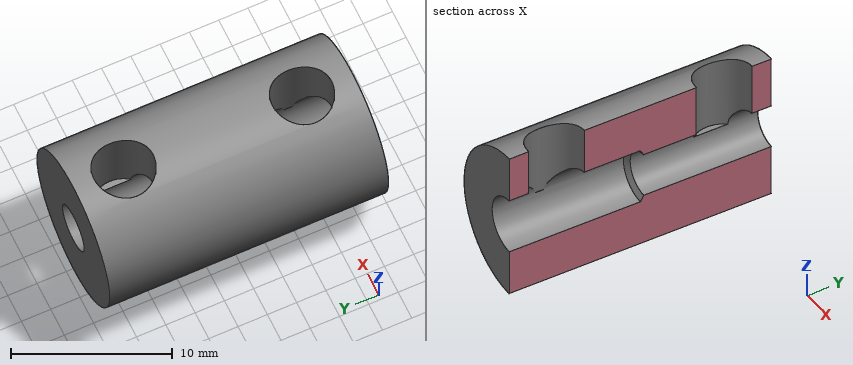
import cadquery as cq
import math

BODY_DIAMETER = 10.67
BODY_LENGTH = 19.05
LARGE_BORE_DIAMETER = 4.0
SMALL_BORE_DIAMETER = 3.175
BORE_CONE_ANGLE = 118
SCREW_HOLE_DIAMETER = 4.04
SCREW_HOLE_END_DISTANCE = 3.43

body_radius = BODY_DIAMETER / 2
half_length = BODY_LENGTH / 2
screw_hole_offset = half_length - SCREW_HOLE_END_DISTANCE


def cylinder_along_y(diameter, start_y, length):
    """Cylinder on the Y axis running from start_y towards +Y."""
    start_plane = cq.Plane(origin=(0, start_y, 0), xDir=(1, 0, 0), normal=(0, 1, 0))
    return cq.Workplane(start_plane).circle(diameter / 2).extrude(length)


def stepped_bore():
    """Large and small bores joined by a cone that starts at mid-length."""
    large_bore = cylinder_along_y(LARGE_BORE_DIAMETER, -half_length, half_length)
    small_bore = cylinder_along_y(SMALL_BORE_DIAMETER, 0, half_length)
    large_radius = LARGE_BORE_DIAMETER / 2
    small_radius = SMALL_BORE_DIAMETER / 2
    half_angle = math.radians(BORE_CONE_ANGLE / 2)
    cone_length = (large_radius - small_radius) / math.tan(half_angle)
    cone = cq.Workplane(
        cq.Solid.makeCone(
            large_radius, small_radius, cone_length, cq.Vector(0, 0, 0), cq.Vector(0, 1, 0)
        )
    )
    return large_bore.union(small_bore).union(cone)


def screw_hole(y):
    """Radial hole from the bore axis up through the top of the body."""
    return (
        cq.Workplane("XY")
        .center(0, y)
        .circle(SCREW_HOLE_DIAMETER / 2)
        .extrude(body_radius)
    )


result = cylinder_along_y(BODY_DIAMETER, -half_length, BODY_LENGTH).cut(stepped_bore())
for hole_y in (-screw_hole_offset, screw_hole_offset):
    result = result.cut(screw_hole(hole_y))